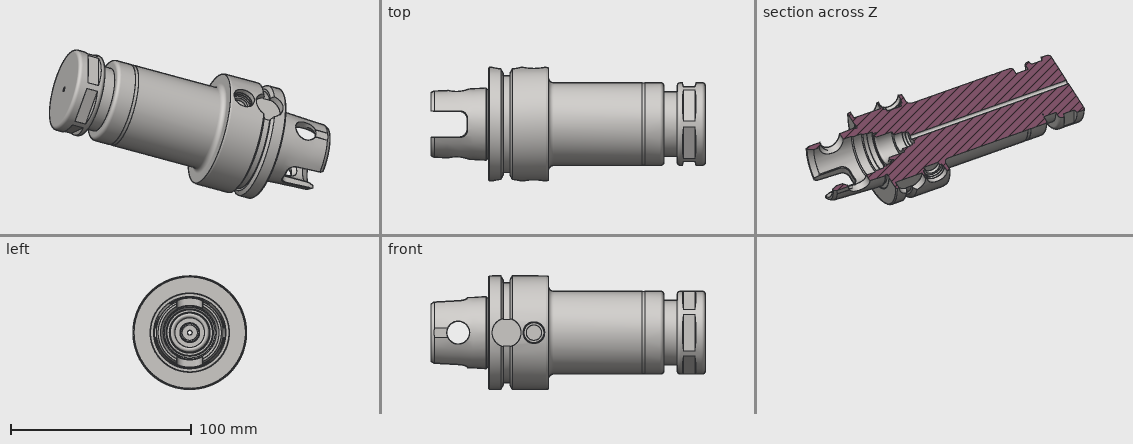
import cadquery as cq
import math


SHANK_LENGTH = 31.8
SHANK_TIP_CHAMFER = 2.0
SHANK_TIP_RADIUS = 17.5
SHANK_FRONT_RADIUS = 18.55
SHANK_REAR_RADIUS = 20.05
RELIEF_LENGTH = 1.3
RELIEF_RADIUS = 19.3
RELIEF_OUTER_RADIUS = 22.0
RELIEF_DEPTH = 0.3

SLOT_WIDTH = 14.0
SLOT_LENGTH = 19.9
SLOT_CORNER_RADIUS = 4.0
SLOT_EDGE_CHAMFER = 0.4
SLOT_MOUTH_TAPER_LENGTH = 2.7
SLOT_MOUTH_FLARE = 0.3

BALL_HOLE_DIAMETER = 12.5
BALL_HOLE_FROM_TIP = 15.1
BALL_HOLE_TILT = 42.0
BALL_HOLE_BEND_OFFSET = 14.6
BALL_HOLE_TILTED_LENGTH = 12.0
LEAD_FLAT_WIDTH = 5.2
LEAD_FLAT_OFFSET = 18.4

MOUTH_RADIUS = 16.2
MOUTH_CHAMFER_DEPTH = 3.3
BORE_RADIUS = 14.7
BORE_DEPTH = 26.4
SECOND_BORE_RADIUS = 14.0
SECOND_BORE_DEPTH = 32.3
SECOND_BORE_CONE_LENGTH = 0.5
NECKED_BORE_RADIUS = 13.1
NECKED_BORE_DEPTH = 35.0
THROAT_RADIUS = 12.6
THROAT_DEPTH = 38.0

NOZZLE_GAP_RADIUS = 11.35
NOZZLE_OUTER_RADIUS = 10.8
NOZZLE_INNER_RADIUS = 8.2
NOZZLE_GAP_DEPTH = 40.0
NOZZLE_BORE_DEPTH = 48.0

COOLANT_STEPS = ((5.5, 53.0), (5.0, 54.5), (4.25, 56.0))
THROUGH_HOLE_DIAMETER = 2.5

FLANGE_RADIUS = 31.5
FLANGE_LENGTH = 33.3
FLANGE_CHAMFER = 0.7
FLANGE_REAR_CHAMFER = 0.3
FLANGE_REAR_CHAMFER_LENGTH = 1.3
GROOVE_CENTRE = 10.05
GROOVE_BOTTOM_WIDTH = 3.6
GROOVE_BOTTOM_RADIUS = 27.8
GROOVE_WALL_RADIUS = 29.1
GROOVE_FLARE_ANGLE = 30.0

INDEX_POCKET_DIAMETER = 16.0
INDEX_POCKET_FLOOR = 26.8
SCREW_HOLE_POSITION = 25.2
SCREW_HOLE_STEPS = ((12.0, 3.4), (11.5, 4.7), (11.0, 6.0), (8.5, 8.0))

BODY_RADIUS = 23.0
BODY_END = 97.2
BODY_FRONT_FILLET = 2.8
BODY_END_ROUND = 2.0
BAND_START = 84.9
BAND_WIDTH = 1.9
BAND_DEPTH = 0.15
NECK_RADIUS = 18.0

NUT_START = 104.4
NUT_END = 120.2
NUT_RADIUS = 23.0
NUT_ROUND = 2.0
NUT_FLAT_COUNT = 6
NUT_FLAT_OFFSET = 20.7
NUT_FLAT_START = 108.0
NUT_FLAT_END = 114.3
NUT_FLAT_FLARE = 0.7


def along_y(x, diameter, inner, outer, side):
    """Cylinder along Y on one side of the axis, between two distances from it."""
    plane = cq.Workplane("XZ", origin=(x, side * inner, 0))
    return plane.circle(diameter / 2).extrude(-side * (outer - inner))


def make_shank():
    tip = -SHANK_LENGTH
    return (
        cq.Workplane("XY")
        .moveTo(tip, 0)
        .lineTo(tip, SHANK_TIP_RADIUS)
        .lineTo(tip + SHANK_TIP_CHAMFER, SHANK_FRONT_RADIUS)
        .lineTo(-RELIEF_LENGTH, SHANK_REAR_RADIUS)
        .lineTo(-RELIEF_LENGTH / 2, RELIEF_RADIUS)
        .lineTo(RELIEF_DEPTH, RELIEF_RADIUS)
        .lineTo(RELIEF_DEPTH, 0)
        .close()
        .revolve(360, (0, 0, 0), (1, 0, 0))
    )


def make_flange():
    half_bottom = GROOVE_BOTTOM_WIDTH / 2
    flare = (FLANGE_RADIUS - GROOVE_WALL_RADIUS) * math.tan(math.radians(GROOVE_FLARE_ANGLE))
    groove_start = GROOVE_CENTRE - half_bottom
    groove_end = GROOVE_CENTRE + half_bottom
    return (
        cq.Workplane("XY")
        .moveTo(RELIEF_DEPTH, 0)
        .lineTo(RELIEF_DEPTH, RELIEF_OUTER_RADIUS - RELIEF_DEPTH)
        .lineTo(0, RELIEF_OUTER_RADIUS)
        .lineTo(0, FLANGE_RADIUS - FLANGE_CHAMFER)
        .lineTo(FLANGE_CHAMFER, FLANGE_RADIUS)
        .lineTo(groove_start - flare, FLANGE_RADIUS)
        .lineTo(groove_start, GROOVE_WALL_RADIUS)
        .lineTo(groove_start, GROOVE_BOTTOM_RADIUS)
        .lineTo(groove_end, GROOVE_BOTTOM_RADIUS)
        .lineTo(groove_end, GROOVE_WALL_RADIUS)
        .lineTo(groove_end + flare, FLANGE_RADIUS)
        .lineTo(FLANGE_LENGTH - FLANGE_REAR_CHAMFER_LENGTH, FLANGE_RADIUS)
        .lineTo(FLANGE_LENGTH, FLANGE_RADIUS - FLANGE_REAR_CHAMFER)
        .lineTo(FLANGE_LENGTH, 0)
        .close()
        .revolve(360, (0, 0, 0), (1, 0, 0))
    )


def make_body():
    fillet_end = FLANGE_LENGTH + BODY_FRONT_FILLET
    band_radius = BODY_RADIUS - BAND_DEPTH
    return (
        cq.Workplane("XY")
        .moveTo(FLANGE_LENGTH, 0)
        .lineTo(FLANGE_LENGTH, BODY_RADIUS + BODY_FRONT_FILLET)
        .radiusArc((fillet_end, BODY_RADIUS), -BODY_FRONT_FILLET)
        .lineTo(BAND_START, BODY_RADIUS)
        .lineTo(BAND_START, band_radius)
        .lineTo(BAND_START + BAND_WIDTH, band_radius)
        .lineTo(BAND_START + BAND_WIDTH, BODY_RADIUS)
        .lineTo(BODY_END - BODY_END_ROUND, BODY_RADIUS)
        .radiusArc((BODY_END, BODY_RADIUS - BODY_END_ROUND), BODY_END_ROUND)
        .lineTo(BODY_END, NECK_RADIUS)
        .lineTo(NUT_START, NECK_RADIUS)
        .lineTo(NUT_START, 0)
        .close()
        .revolve(360, (0, 0, 0), (1, 0, 0))
    )


def make_nut():
    return (
        cq.Workplane("XY")
        .moveTo(NUT_START, 0)
        .lineTo(NUT_START, NUT_RADIUS - NUT_ROUND)
        .radiusArc((NUT_START + NUT_ROUND, NUT_RADIUS), NUT_ROUND)
        .lineTo(NUT_END - NUT_ROUND, NUT_RADIUS)
        .radiusArc((NUT_END, NUT_RADIUS - NUT_ROUND), NUT_ROUND)
        .lineTo(NUT_END, 0)
        .close()
        .revolve(360, (0, 0, 0), (1, 0, 0))
    )


def make_nut_flats():
    """Cutters for the wrench flats, with both end walls leaning outwards."""
    rise = NUT_RADIUS - NUT_FLAT_OFFSET
    flat = (
        cq.Workplane("XY")
        .moveTo(NUT_FLAT_START, NUT_FLAT_OFFSET)
        .lineTo(NUT_FLAT_END, NUT_FLAT_OFFSET)
        .lineTo(NUT_FLAT_END + NUT_FLAT_FLARE, NUT_FLAT_OFFSET + rise)
        .lineTo(NUT_FLAT_START - NUT_FLAT_FLARE, NUT_FLAT_OFFSET + rise)
        .close()
        .extrude(NUT_RADIUS, both=True)
    )
    cutters = cq.Workplane("XY")
    for index in range(NUT_FLAT_COUNT):
        cutters = cutters.add(flat.rotate((0, 0, 0), (1, 0, 0), index * 360 / NUT_FLAT_COUNT))
    return cutters.combine()


def make_bore():
    tip = -SHANK_LENGTH
    through_radius = THROUGH_HOLE_DIAMETER / 2
    shoulder_end = tip + BORE_DEPTH + BORE_RADIUS - SECOND_BORE_RADIUS
    cone_end = tip + SECOND_BORE_DEPTH + SECOND_BORE_CONE_LENGTH
    lip_radius = (NOZZLE_OUTER_RADIUS - NOZZLE_INNER_RADIUS) / 2
    lip_base = tip + THROAT_DEPTH + lip_radius
    outline = (
        cq.Workplane("XY")
        .moveTo(tip, 0)
        .lineTo(tip, MOUTH_RADIUS)
        .lineTo(tip + MOUTH_CHAMFER_DEPTH, BORE_RADIUS)
        .lineTo(tip + BORE_DEPTH, BORE_RADIUS)
        .lineTo(shoulder_end, SECOND_BORE_RADIUS)
        .lineTo(tip + SECOND_BORE_DEPTH, SECOND_BORE_RADIUS)
        .lineTo(cone_end, NECKED_BORE_RADIUS)
        .lineTo(tip + NECKED_BORE_DEPTH, NECKED_BORE_RADIUS)
        .lineTo(tip + NECKED_BORE_DEPTH, THROAT_RADIUS)
        .lineTo(tip + THROAT_DEPTH, THROAT_RADIUS)
        .lineTo(tip + THROAT_DEPTH, NOZZLE_GAP_RADIUS)
        .lineTo(tip + NOZZLE_GAP_DEPTH, NOZZLE_GAP_RADIUS)
        .lineTo(tip + NOZZLE_GAP_DEPTH, NOZZLE_OUTER_RADIUS)
        .lineTo(lip_base, NOZZLE_OUTER_RADIUS)
        .threePointArc(
            (lip_base - lip_radius, NOZZLE_INNER_RADIUS + lip_radius),
            (lip_base, NOZZLE_INNER_RADIUS),
        )
        .lineTo(tip + NOZZLE_BORE_DEPTH, NOZZLE_INNER_RADIUS)
    )
    depth = NOZZLE_BORE_DEPTH
    for radius, next_depth in COOLANT_STEPS:
        outline = outline.lineTo(tip + depth, radius).lineTo(tip + next_depth, radius)
        depth = next_depth
    return (
        outline.lineTo(tip + depth, through_radius)
        .lineTo(NUT_END, through_radius)
        .lineTo(NUT_END, 0)
        .close()
        .revolve(360, (0, 0, 0), (1, 0, 0))
    )


def cut_drive_slots(part):
    tip = -SHANK_LENGTH
    half_width = SLOT_WIDTH / 2
    slot = (
        cq.Workplane("XY")
        .moveTo(tip, -half_width - SLOT_MOUTH_FLARE)
        .lineTo(tip + SLOT_MOUTH_TAPER_LENGTH, -half_width)
        .lineTo(tip + SLOT_LENGTH, -half_width)
        .lineTo(tip + SLOT_LENGTH, half_width)
        .lineTo(tip + SLOT_MOUTH_TAPER_LENGTH, half_width)
        .lineTo(tip, half_width + SLOT_MOUTH_FLARE)
        .close()
        .extrude(SHANK_REAR_RADIUS, both=True)
        .edges("|Z and >X")
        .fillet(SLOT_CORNER_RADIUS)
    )
    slotted = part.cut(slot)
    near = SLOT_EDGE_CHAMFER
    end_rims = cq.selectors.BoxSelector(
        (tip + SLOT_LENGTH - near, -near, -SHANK_LENGTH), (tip + SLOT_LENGTH + near, near, SHANK_LENGTH)
    )
    return slotted.edges(end_rims).chamfer(SLOT_EDGE_CHAMFER)


def cut_ball_hole(part, side):
    """Radial hole whose inner end bends towards the shank tip."""
    centre = BALL_HOLE_FROM_TIP - SHANK_LENGTH
    part = part.cut(along_y(centre, BALL_HOLE_DIAMETER, 0, SHANK_REAR_RADIUS, side))
    tilt = math.radians(BALL_HOLE_TILT)
    bend = cq.Vector(centre, side * BALL_HOLE_BEND_OFFSET, 0)
    inward = cq.Vector(-math.sin(tilt), -side * math.cos(tilt), 0)
    inner_end = cq.Solid.makeCylinder(BALL_HOLE_DIAMETER / 2, BALL_HOLE_TILTED_LENGTH, bend, inward)
    return part.cut(cq.Workplane(inner_end))


def cut_lead_flat(part, side):
    depth = SHANK_REAR_RADIUS - LEAD_FLAT_OFFSET
    flat = cq.Workplane("XY").box(BALL_HOLE_FROM_TIP, depth, LEAD_FLAT_WIDTH)
    centre_x = BALL_HOLE_FROM_TIP / 2 - SHANK_LENGTH
    return part.cut(flat.translate((centre_x, side * (LEAD_FLAT_OFFSET + depth / 2), 0)))


def cut_flange_holes(part, side):
    part = part.cut(
        along_y(GROOVE_CENTRE, INDEX_POCKET_DIAMETER, INDEX_POCKET_FLOOR, FLANGE_RADIUS, side)
    )
    for diameter, depth in SCREW_HOLE_STEPS:
        hole = along_y(SCREW_HOLE_POSITION, diameter, FLANGE_RADIUS - depth, FLANGE_RADIUS, side)
        part = part.cut(hole)
    return part


part = make_shank().union(make_flange()).union(make_body()).union(make_nut())
part = part.cut(make_nut_flats()).cut(make_bore())
part = cut_drive_slots(part)
for side in (-1, 1):
    part = cut_ball_hole(part, side)
    part = cut_lead_flat(part, side)
    part = cut_flange_holes(part, side)
result = part